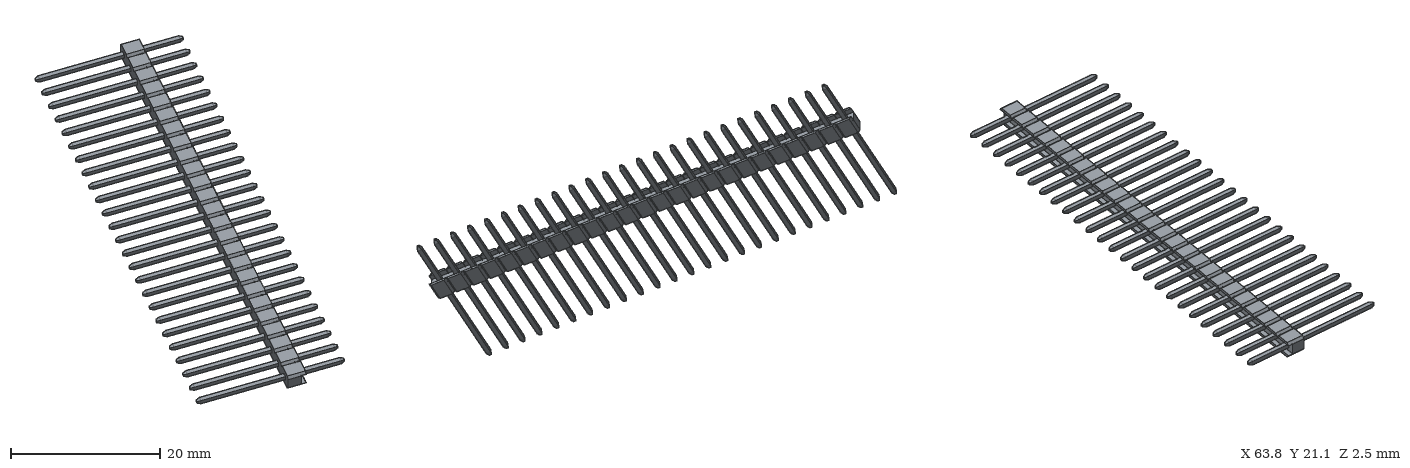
import cadquery as cq

pin_count = 25
pitch = 2.55
row_length = pin_count * pitch

body_height = 2.5
body_depth = 2.6
chamfer_width = 0.3
chamfer_depth = 0.405
groove_depth = 0.7
lip_thickness = 0.395

pin_size = 0.65
pin_offset_x = -0.1
pin_length = 21.1
pin_back_reach = 5.9
tip_length = 0.5
tip_size = 0.3

pin_back_y = body_depth + pin_back_reach
pin_front_y = pin_back_y - pin_length


def make_cells(centers_x):
    """Row of body blocks, one per pin, each with its four long edges chamfered."""
    half_width = pitch / 2
    half_height = body_height / 2
    flat_half_width = half_width - chamfer_width
    side_half_height = half_height - chamfer_depth

    top_points = []
    for center_x in centers_x:
        top_points.append((center_x - half_width, side_half_height))
        top_points.append((center_x - flat_half_width, half_height))
        top_points.append((center_x + flat_half_width, half_height))
    top_points.append((centers_x[-1] + half_width, side_half_height))
    bottom_points = [(x, -z) for x, z in reversed(top_points)]

    return cq.Workplane("XZ").polyline(top_points + bottom_points).close().extrude(-body_depth)


def make_back_groove():
    """Channel along the whole back face, leaving a lip above and below it."""
    groove_height = body_height - 2 * lip_thickness
    return (
        cq.Workplane("XY")
        .box(row_length, groove_depth, groove_height)
        .translate((0, body_depth - groove_depth / 2, 0))
    )


def make_tip(start_y, direction):
    """Tapered pin end starting at start_y; direction is +1 for +Y and -1 for -Y."""
    base_plane = cq.Plane(origin=(0, start_y, 0), xDir=(1, 0, 0), normal=(0, direction, 0))
    return (
        cq.Workplane(base_plane)
        .rect(pin_size, pin_size)
        .workplane(offset=tip_length)
        .rect(tip_size, tip_size)
        .loft(ruled=True)
    )


def make_pin():
    """Square pin at X = 0 with a tapered tip at both ends."""
    shank_length = pin_length - 2 * tip_length
    middle_y = (pin_front_y + pin_back_y) / 2
    shank = cq.Workplane("XY").box(pin_size, shank_length, pin_size).translate((0, middle_y, 0))
    front_tip = make_tip(pin_front_y + tip_length, -1)
    back_tip = make_tip(pin_back_y - tip_length, 1)
    return shank.union(front_tip).union(back_tip)


cell_centers = [(index - (pin_count - 1) / 2) * pitch for index in range(pin_count)]
body = make_cells(cell_centers).cut(make_back_groove())

pin = make_pin()
pins = [pin.val().translate(cq.Vector(x + pin_offset_x, 0, 0)) for x in cell_centers]
result = cq.Workplane(body.val().fuse(*pins))